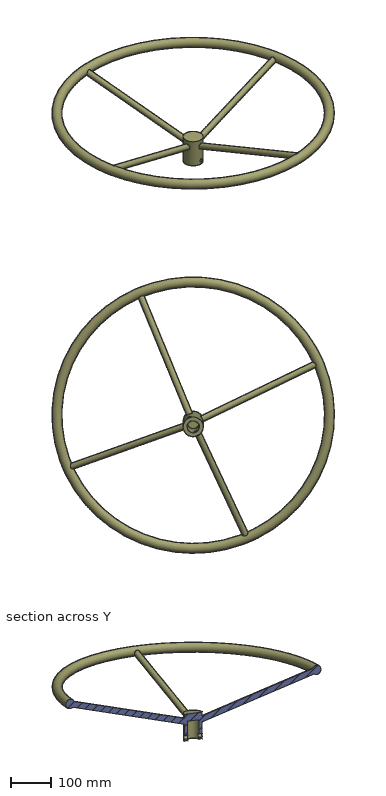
import cadquery as cq
import math

OUTER_DIAMETER = 700.0
RIM_BAR_DIAMETER = 25.0
OVERALL_HEIGHT = 150.0
RIM_RADIUS = (OUTER_DIAMETER - RIM_BAR_DIAMETER) / 2
RIM_HEIGHT = OVERALL_HEIGHT - RIM_BAR_DIAMETER / 2

HUB_DIAMETER = 50.0
HUB_HEIGHT = 70.0
BORE_DIAMETER = 30.0
BORE_DEPTH = 50.0

PIN_HOLE_DIAMETER = 8.0
PIN_HOLE_HEIGHT = 10.0

SPOKE_COUNT = 4
SPOKE_DIAMETER = 16.0
SPOKE_AXIS_HEIGHT = 45.0
SPOKE_RISE = RIM_HEIGHT - SPOKE_AXIS_HEIGHT
SPOKE_LENGTH = math.hypot(RIM_RADIUS, SPOKE_RISE)


def make_rim():
    """Torus around the Z axis at the top of the wheel, its seam midway between two spokes."""
    section = cq.Workplane("XZ").center(RIM_RADIUS, RIM_HEIGHT).circle(RIM_BAR_DIAMETER / 2)
    rim = section.revolve(360, (-RIM_RADIUS, 0), (-RIM_RADIUS, 1))
    return rim.rotate((0, 0, 0), (0, 0, 1), 180.0 / SPOKE_COUNT)


def make_hub():
    """Plain cylinder from Z = 0."""
    return cq.Workplane("XY").circle(HUB_DIAMETER / 2).extrude(HUB_HEIGHT)


def make_spoke(angle):
    """Inclined bar from the hub axis to the rim, turned about Z."""
    start = cq.Vector(0, 0, SPOKE_AXIS_HEIGHT)
    direction = cq.Vector(RIM_RADIUS, 0, SPOKE_RISE)
    bar = cq.Solid.makeCylinder(SPOKE_DIAMETER / 2, SPOKE_LENGTH, start, direction)
    return cq.Workplane(bar).rotate((0, 0, 0), (0, 0, 1), angle)


def make_bore():
    """Blind shaft bore, open at the underside of the hub."""
    return cq.Workplane("XY").circle(BORE_DIAMETER / 2).extrude(BORE_DEPTH)


def make_pin_hole():
    """Cutter through both walls of the hub."""
    section = cq.Workplane("YZ").center(0, PIN_HOLE_HEIGHT).circle(PIN_HOLE_DIAMETER / 2)
    return section.extrude(HUB_DIAMETER / 2, both=True)


spider = make_hub()
for index in range(SPOKE_COUNT):
    spider = spider.union(make_spoke(index * 360.0 / SPOKE_COUNT))
spider = spider.cut(make_bore()).cut(make_pin_hole())

result = spider.union(make_rim(), clean=False)